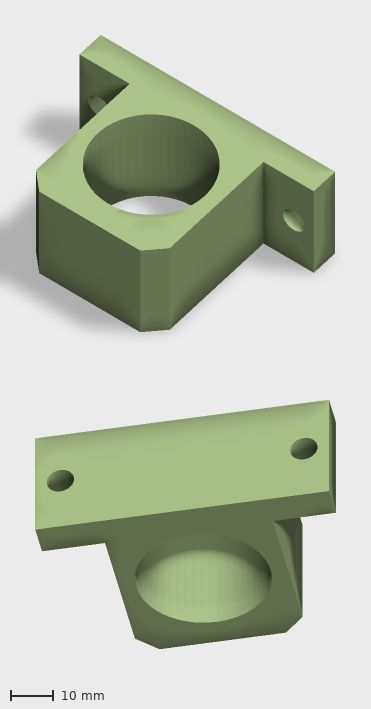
import cadquery as cq

flange_width = 70.0
depth = 48.0
height = 28.0

flange_thickness = 8.0
body_width = 40.0
corner_chamfer = 4.9

bore_diameter = 32.0
bore_to_back = 25.0

screw_hole_diameter = 6.5
screw_hole_spacing = 58.0


def block(width, length):
    """Full-height block that runs forward from the back face."""
    return cq.Workplane("XY").box(width, length, height).translate((0, -length / 2, 0))


flange = block(flange_width, flange_thickness)
body = block(body_width, depth).faces("<Y").edges("|Z").chamfer(corner_chamfer)

bore = cq.Workplane("XY").cylinder(height, bore_diameter / 2).translate((0, -bore_to_back, 0))

screw_holes = (
    cq.Workplane("XZ")
    .pushPoints([(side * screw_hole_spacing / 2, 0) for side in (-1, 1)])
    .circle(screw_hole_diameter / 2)
    .extrude(flange_thickness)
)

result = flange.union(body).cut(bore).cut(screw_holes)